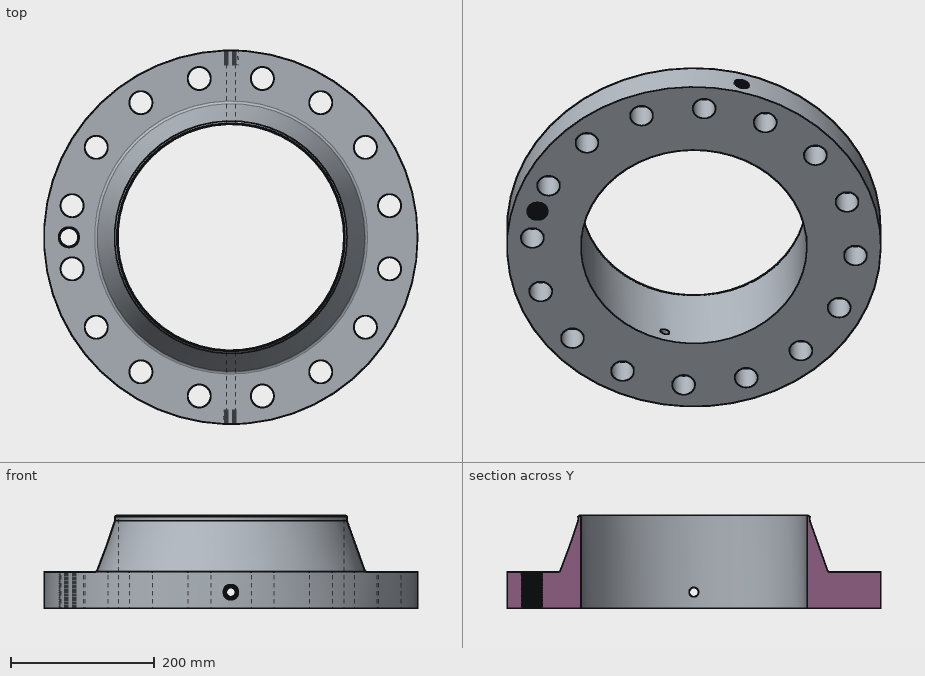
import cadquery as cq
import math

flange_diameter = 520.7
flange_thickness = 50.8
overall_height = 130.05

neck_diameter = 323.85
wall_thickness = 4.57
bore_radius = neck_diameter / 2 - wall_thickness
hub_base_diameter = 374.65
hub_base_fillet = 4.0
neck_length = 8.0
weld_land = 1.6
weld_bevel_angle = 37.5

bolt_count = 16
bolt_hole_diameter = 31.75
bolt_circle_diameter = 450.85

jack_major_diameter = 28.575
jack_minor_diameter = 25.15
jack_pitch = 3.175
jack_turns = round(flange_thickness / jack_pitch)

tap_height = 22.7
tap_drill_diameter = 12.7
tap_major_diameter = 21.3
tap_pitch = 1.814
tap_thread_depth = 1.45
tap_thread_turns = 11
tap_taper = 1 / 32


def make_body():
    """Flange plate and tapered hub, revolved about Z around the open bore."""
    flange_radius = flange_diameter / 2
    neck_radius = neck_diameter / 2
    land_radius = bore_radius + weld_land
    bevel_height = (neck_radius - land_radius) * math.tan(math.radians(weld_bevel_angle))
    profile = (
        cq.Workplane("XZ")
        .moveTo(bore_radius, 0)
        .lineTo(flange_radius, 0)
        .lineTo(flange_radius, flange_thickness)
        .lineTo(hub_base_diameter / 2, flange_thickness)
        .lineTo(neck_radius, overall_height - neck_length)
        .lineTo(neck_radius, overall_height - bevel_height)
        .lineTo(land_radius, overall_height)
        .lineTo(bore_radius, overall_height)
        .close()
    )
    body = profile.revolve(360, (0, 0, 0), (0, 1, 0))
    hub_base_edge = cq.selectors.RadiusNthSelector(-2)
    return body.edges(hub_base_edge).fillet(hub_base_fillet)


def make_thread_cutter(mouth_radius, thread_depth, pitch, turns, taper=0):
    """Hole with V-shaped ring grooves for a thread, opening at the origin and running down -Z."""
    points = [(0, 0), (mouth_radius, 0)]
    for turn in range(turns):
        crest_depth = (turn + 0.5) * pitch
        root_depth = (turn + 1) * pitch
        points.append((mouth_radius - thread_depth - taper * crest_depth, -crest_depth))
        points.append((mouth_radius - taper * root_depth, -root_depth))
    points.append((0, -turns * pitch))
    return cq.Workplane("XZ").polyline(points).close().revolve(360, (0, 0, 0), (0, 1, 0))


def cut_bolt_holes(body):
    """Plain through holes, with the first one half a step off the X axis."""
    bolt_step = 360 / bolt_count
    holes = (
        cq.Workplane("XY")
        .polarArray(bolt_circle_diameter / 2, bolt_step / 2, 360, bolt_count)
        .circle(bolt_hole_diameter / 2)
        .extrude(flange_thickness)
    )
    return body.cut(holes)


def cut_jack_screw_hole(body):
    """Threaded hole through the full flange thickness."""
    cutter = make_thread_cutter(
        jack_major_diameter / 2,
        (jack_major_diameter - jack_minor_diameter) / 2,
        jack_pitch,
        jack_turns,
    )
    return body.cut(cutter.translate((-bolt_circle_diameter / 2, 0, flange_thickness)))


def cut_pressure_taps(body):
    """Drill straight across the flange into the bore and thread both outer ends."""
    drill = (
        cq.Workplane("XZ", origin=(0, flange_diameter / 2, tap_height))
        .circle(tap_drill_diameter / 2)
        .extrude(flange_diameter)
    )
    body = body.cut(drill)
    thread = make_thread_cutter(
        tap_major_diameter / 2, tap_thread_depth, tap_pitch, tap_thread_turns, tap_taper
    )
    tap = thread.rotate((0, 0, 0), (1, 0, 0), 90).translate((0, -flange_diameter / 2, tap_height))
    for turn_angle in (0, 180):
        body = body.cut(tap.rotate((0, 0, 0), (0, 0, 1), turn_angle))
    return body


result = make_body()
result = cut_bolt_holes(result)
result = cut_jack_screw_hole(result)
result = cut_pressure_taps(result)